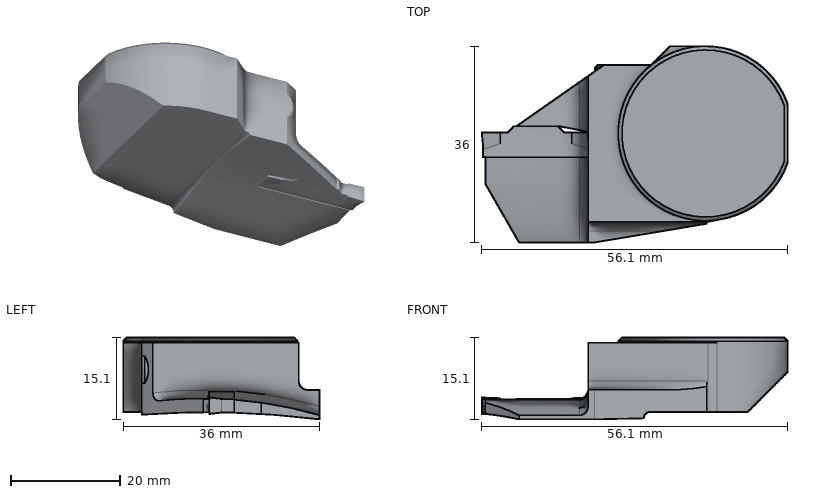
import cadquery as cq
import math


head_radius = 16.0
rim_height = 1.0
rim_chamfer = 0.7
flat_x = 15.1
body_bottom_z = -13.7
heel_chamfer = 7.4

block_x = -21.5
block_front_y = -16.2
block_back_y = 12.55
block_top_z = -rim_height
back_corner_x = -6.5
back_cut_start_x = -18.6
blade_back_tip = (-34.6, 1.35)

flange_y = -20.0
flange_corner_x = -20.4
flange_end = (0.2, -16.55)
flange_notch_y = -16.25
head_start_x = 2.05
flange_top_z = -9.65
flange_fillet = 1.65

blade_tip_x = -40.3
blade_tip_front_y = -9.3
blade_front_x = -34.15
blade_end_x = -10.2
blade_end_fillet = 1.1
blade_fillet = 1.6
blade_top_radius = 77.0
blade_top_y = 1.5
blade_top_z = -11.22
blade_under_radius = 165.0
blade_under_y = 0.6
blade_under_z = -13.76

boss_radius = 3.75
boss_chamfer = 0.55
boss_x = -16.55
boss_z = -5.95
boss_depth = 4.0

insert_tip_x = -41.0
insert_mid_x = -31.05
insert_front_y = -4.35
insert_edge_y = 0.2
insert_back_y = 1.35
insert_top_z = -11.37
insert_bottom_z = -13.7
tip_relief_y = -1.95
tip_relief = 0.2
hump_base_half = 5.15
hump_top_half = 4.05
pad_inner_x = -37.6
pad_inner_y = -1.8
pad_outer_y = -2.97
pad_height = 0.37
seat_top_z = -9.96

margin = 5.0


def back_cut_y(x):
    """Y of the slanted back face that runs from the block to the blade tip."""
    tip_x, tip_y = blade_back_tip
    slope = (block_back_y - tip_y) / (back_cut_start_x - tip_x)
    return block_back_y + slope * (x - back_cut_start_x)


def plan_prism(outline, bottom_z, top_z):
    return outline.extrude(top_z - bottom_z).translate((0, 0, bottom_z))


def body_outline():
    """Plan of the block and its flange, closed by a chord inside the round head."""
    back_step = head_radius - block_back_y
    return (
        cq.Workplane("XY")
        .moveTo(block_x, flange_y)
        .lineTo(flange_corner_x, flange_y)
        .lineTo(*flange_end)
        .lineTo(flange_end[0], flange_notch_y)
        .lineTo(head_start_x, -math.sqrt(head_radius ** 2 - head_start_x ** 2))
        .lineTo(0, head_radius)
        .lineTo(back_corner_x, head_radius)
        .lineTo(back_corner_x - back_step, block_back_y)
        .lineTo(back_cut_start_x, block_back_y)
        .lineTo(block_x, back_cut_y(block_x))
        .close()
    )


def blade_outline():
    """Plan of the blade up to the block's front face."""
    return (
        cq.Workplane("XY")
        .moveTo(blade_tip_x, insert_front_y)
        .lineTo(blade_tip_x, blade_tip_front_y)
        .lineTo(blade_front_x, flange_y)
        .lineTo(block_x, flange_y)
        .lineTo(block_x, back_cut_y(block_x))
        .lineTo(*blade_back_tip)
        .close()
    )


def arc_z(y, radius, crest_y, crest_z):
    """Height of an arched surface whose highest line lies at crest_y."""
    return crest_z - radius + math.sqrt(radius ** 2 - (y - crest_y) ** 2)


def blade_under(y):
    return arc_z(y, blade_under_radius, blade_under_y, blade_under_z)


def under_arc_profile(start_x):
    """Lower boundary of the blade in the YZ plane, drawn from front to back."""
    return (
        cq.Workplane("YZ", origin=(start_x, 0, 0))
        .moveTo(flange_y, blade_under(flange_y))
        .threePointArc((blade_under_y, blade_under_z), (block_back_y, blade_under(block_back_y)))
    )


def make_blade():
    """Arched plate that stands out of the block."""
    def top(y):
        return arc_z(y, blade_top_radius, blade_top_y, blade_top_z)

    arched_bar = (
        under_arc_profile(blade_tip_x)
        .lineTo(block_back_y, top(block_back_y))
        .threePointArc((blade_top_y, blade_top_z), (flange_y, top(flange_y)))
        .close()
        .extrude(block_x - blade_tip_x)
    )
    return arched_bar.intersect(plan_prism(blade_outline(), blade_under(flange_y), block_top_z))


def make_lug():
    """Continuation of the blade's underside below the block, with a concave round at its end."""
    bar = (
        under_arc_profile(block_x)
        .lineTo(block_back_y, flange_top_z)
        .lineTo(flange_y, flange_top_z)
        .close()
        .extrude(blade_end_x - block_x)
    )
    lug_bottom_z = blade_under(flange_y)
    round_start_x = blade_end_x - blade_end_fillet
    end_round = (
        cq.Workplane("XZ")
        .moveTo(blade_end_x, body_bottom_z)
        .radiusArc((round_start_x, body_bottom_z - blade_end_fillet), -blade_end_fillet)
        .lineTo(round_start_x, lug_bottom_z - margin)
        .lineTo(blade_end_x, lug_bottom_z - margin)
        .close()
        .extrude(head_radius - flange_y, both=True)
    )
    return bar.intersect(plan_prism(body_outline(), lug_bottom_z, flange_top_z)).cut(end_round)


def make_body():
    """Block with its lug and flange."""
    body = plan_prism(body_outline(), body_bottom_z, block_top_z)
    step_length = head_radius - block_x
    flange_step = (
        cq.Workplane("XY")
        .box(step_length, head_radius, head_radius, centered=False)
        .translate((block_x, block_front_y - head_radius, flange_top_z))
        .edges("|X and >Y and <Z")
        .fillet(flange_fillet)
    )
    return body.union(make_lug()).cut(flange_step)


def make_head():
    """Round head with a flat on its end and a chamfered rim above the block."""
    return (
        cq.Workplane("XY", origin=(0, 0, body_bottom_z))
        .circle(head_radius)
        .extrude(-body_bottom_z)
        .cut(end_trim())
        .faces(">Z")
        .chamfer(rim_chamfer)
    )


def end_trim():
    """Material removed by the flat and by the sloped heel under it."""
    outer_x = head_radius + margin
    low_z = body_bottom_z - margin
    return (
        cq.Workplane("XZ")
        .moveTo(flat_x, margin)
        .lineTo(flat_x, body_bottom_z + heel_chamfer)
        .lineTo(flat_x - heel_chamfer, body_bottom_z)
        .lineTo(flat_x - heel_chamfer, low_z)
        .lineTo(outer_x, low_z)
        .lineTo(outer_x, margin)
        .close()
        .extrude(head_radius + margin, both=True)
    )


def make_boss():
    """Round boss, flush with the block's back, that stands out of the slanted face."""
    return (
        cq.Workplane("XZ", origin=(boss_x, block_back_y, boss_z))
        .circle(boss_radius)
        .extrude(boss_depth)
        .faces(">Y")
        .chamfer(boss_chamfer)
    )


def insert_outline():
    """Plan of the insert, symmetric about its middle."""
    half_length = insert_mid_x - insert_tip_x
    half_points = [
        (half_length - tip_relief, insert_front_y),
        (half_length - tip_relief, tip_relief_y),
        (half_length, insert_edge_y),
        (hump_base_half, insert_edge_y),
        (hump_top_half, insert_back_y),
    ]
    right = [(insert_mid_x + x, y) for x, y in half_points]
    left = [(insert_mid_x - x, y) for x, y in reversed(half_points)]
    return cq.Workplane("XY").polyline(right + left).close()


def seat_cutter():
    """Slot for the insert, with a tapered relief behind its inner end."""
    seat_bottom_z = insert_bottom_z - margin
    inner_end_x = 2 * insert_mid_x - insert_tip_x
    relief = (
        cq.Workplane("XY")
        .moveTo(insert_mid_x + hump_top_half, insert_back_y)
        .lineTo(inner_end_x, insert_edge_y)
        .lineTo(insert_mid_x + hump_base_half, insert_edge_y)
        .close()
    )
    return plan_prism(insert_outline(), seat_bottom_z, seat_top_z).union(
        plan_prism(relief, seat_bottom_z, seat_top_z)
    )


def make_tip_pad():
    """Wedge on top of the outer end, rising towards the cutting corner."""
    slope = (pad_inner_y - pad_outer_y) / (pad_inner_x - insert_tip_x)
    angle = math.atan(slope)
    rise_length = (insert_edge_y - pad_outer_y) * math.cos(angle)
    wedge = (
        cq.Workplane(
            cq.Plane(
                origin=(insert_tip_x, pad_outer_y, insert_top_z),
                xDir=(-math.sin(angle), math.cos(angle), 0),
                normal=(math.cos(angle), math.sin(angle), 0),
            )
        )
        .moveTo(0, 0)
        .lineTo(rise_length, 0)
        .lineTo(rise_length, pad_height)
        .close()
        .extrude(margin, both=True)
    )
    plan = (
        cq.Workplane("XY")
        .moveTo(insert_tip_x, pad_outer_y)
        .lineTo(pad_inner_x, pad_inner_y)
        .lineTo(pad_inner_x, insert_edge_y)
        .lineTo(insert_tip_x, insert_edge_y)
        .close()
    )
    return wedge.intersect(plan_prism(plan, insert_top_z, insert_top_z + pad_height))


def make_insert():
    """Insert with a raised pad on each end, above and below."""
    blank = plan_prism(insert_outline(), insert_bottom_z, insert_top_z)
    middle = (insert_mid_x, 0, (insert_top_z + insert_bottom_z) / 2)
    top_pad = make_tip_pad()
    left_pads = [top_pad, top_pad.mirror("XY", middle)]
    for pad in left_pads:
        blank = blank.union(pad).union(pad.mirror("YZ", middle))
    envelope = plan_prism(insert_outline(), insert_bottom_z - margin, insert_top_z + margin)
    return blank.intersect(envelope)


def make_holder():
    shank = make_body().union(make_blade())
    blade_root = cq.selectors.BoxSelector(
        (block_x - blade_fillet / 2, flange_y - margin, body_bottom_z),
        (block_x + blade_fillet / 2, block_back_y, flange_top_z),
    )
    shank = shank.edges(blade_root).edges("not |Z").fillet(blade_fillet)
    return shank.union(make_head()).union(make_boss()).cut(seat_cutter())


holder = make_holder()
insert = make_insert()

result = cq.Compound.makeCompound([holder.solids().val(), insert.solids().val()])